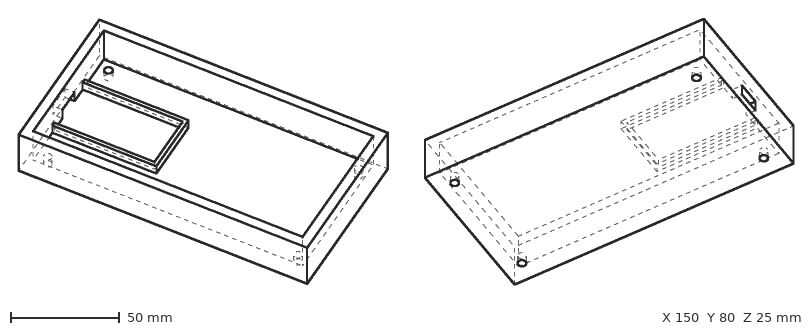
import cadquery as cq

TRAY_LENGTH = 150.0
TRAY_WIDTH = 80.0
TRAY_HEIGHT = 25.0
WALL = 5.0
FLOOR = 5.0

HOLE_DIAMETER = 4.0
HOLE_INSET = 10.0

BAY_LENGTH = 52.0
BAY_WIDTH = 28.0
FENCE_THICKNESS = 2.0
FENCE_HEIGHT = 5.0

WINDOW_WIDTH = 12.0
WINDOW_HEIGHT = 6.0

INNER_WALL_X = -TRAY_LENGTH / 2 + WALL


def box_from_wall(start_x, length, width, height):
    """Box standing on the tray floor, centred on Y, running in +X from start_x."""
    return (
        cq.Workplane("XY")
        .box(length, width, height, centered=(False, True, False))
        .translate((start_x, 0, FLOOR))
    )


def make_tray():
    outer = cq.Workplane("XY").box(TRAY_LENGTH, TRAY_WIDTH, TRAY_HEIGHT, centered=(True, True, False))
    cavity = box_from_wall(
        INNER_WALL_X,
        TRAY_LENGTH - 2 * WALL,
        TRAY_WIDTH - 2 * WALL,
        TRAY_HEIGHT - FLOOR,
    )
    return outer.cut(cavity)


def make_fence():
    fence = box_from_wall(
        INNER_WALL_X,
        BAY_LENGTH + FENCE_THICKNESS,
        BAY_WIDTH + 2 * FENCE_THICKNESS,
        FENCE_HEIGHT,
    )
    bay = box_from_wall(INNER_WALL_X, BAY_LENGTH, BAY_WIDTH, FENCE_HEIGHT)
    return fence.cut(bay)


def make_mounting_holes():
    return (
        cq.Workplane("XY")
        .rect(TRAY_LENGTH - 2 * HOLE_INSET, TRAY_WIDTH - 2 * HOLE_INSET, forConstruction=True)
        .vertices()
        .circle(HOLE_DIAMETER / 2)
        .extrude(FLOOR)
    )


def make_connector_window():
    return box_from_wall(-TRAY_LENGTH / 2, WALL, WINDOW_WIDTH, WINDOW_HEIGHT)


result = (
    make_tray()
    .union(make_fence())
    .cut(make_mounting_holes())
    .cut(make_connector_window())
)